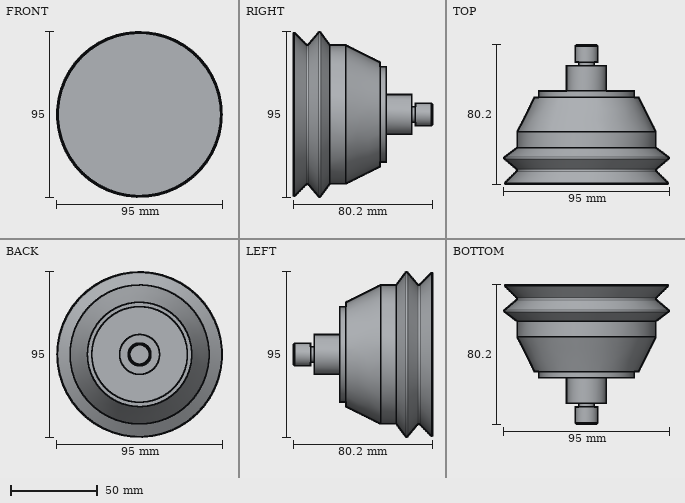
import cadquery as cq


ridge_radius = 47.5
ridge_edge_radius = 47.0
lip_radius = 47.1
face_radius = 46.7
body_radius = 80.0 / 2
groove_depth = 0.4
groove_edge_radius = body_radius + groove_depth
shoulder_radius = 30.0
plate_radius = 55.0 / 2
boss_radius = 23.0 / 2
neck_radius = 9.0 / 2
pin_radius = 13.1 / 2
pin_chamfer = 0.95

lip_y = 0.7
groove_start_y = 7.3
groove_end_y = 8.7
ridge_start_y = 14.3
ridge_end_y = 15.8
body_start_y = 21.0
body_end_y = 30.0
shoulder_y = 50.0
plate_end_y = 53.6
boss_end_y = 68.2
neck_end_y = 70.2
overall_length = 80.2

groove_mid_y = (groove_start_y + groove_end_y) / 2
ridge_mid_y = (ridge_start_y + ridge_end_y) / 2

profile = (
    cq.Workplane("XY")
    .lineTo(face_radius, 0)
    .lineTo(lip_radius, lip_y)
    .lineTo(groove_edge_radius, groove_start_y)
    .threePointArc((body_radius, groove_mid_y), (groove_edge_radius, groove_end_y))
    .lineTo(ridge_edge_radius, ridge_start_y)
    .threePointArc((ridge_radius, ridge_mid_y), (ridge_edge_radius, ridge_end_y))
    .lineTo(body_radius, body_start_y)
    .lineTo(body_radius, body_end_y)
    .lineTo(shoulder_radius, shoulder_y)
)

profile = (
    profile
    .lineTo(plate_radius, shoulder_y)
    .lineTo(plate_radius, plate_end_y)
    .lineTo(boss_radius, plate_end_y)
    .lineTo(boss_radius, boss_end_y)
    .lineTo(neck_radius, boss_end_y)
    .lineTo(neck_radius, neck_end_y)
    .lineTo(pin_radius, neck_end_y)
    .lineTo(pin_radius, overall_length - pin_chamfer)
    .lineTo(pin_radius - pin_chamfer, overall_length)
    .lineTo(0, overall_length)
    .close()
)

result = profile.revolve(360, (0, 0, 0), (0, 1, 0))